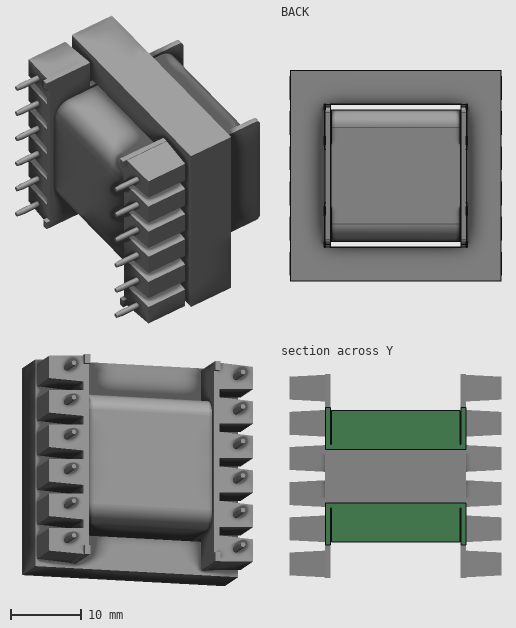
import cadquery as cq


core_side = 30.0
core_depth = 6.93
window_side = 20.32
leg_height = 7.55

tube_wall = 0.78
coil_end_gap = 0.05
tube_opening_depth = 7.48
coil_depth = 20.65
coil_height = 18.75
coil_corner_radius = 2.53

flange_outer_x = 10.05
flange_thickness = 0.78
flange_height = 19.6
flange_back_y = 11.85
flange_corner_radius = 0.75
wide_flange_height = 29.0
foot_front_y = -11.8
foot_height = 1.33
flange_inner_x = flange_outer_x - flange_thickness

pin_count = 6
pin_pitch = 5.0
block_outer_x = 15.08
block_back_y = -4.25
block_front_y = -11.13
block_height = 3.8
block_inset = 0.27
block_depth = block_back_y - block_front_y
block_length = block_outer_x - flange_outer_x
block_center_y = (block_back_y + block_front_y) / 2

pin_x = 12.5
pin_diameter = 0.87
pin_tip_diameter = 0.65
pin_tip_length = 0.87
pin_end_y = -14.75
pin_length = block_center_y - pin_end_y


def make_core():
    """Square frame with a centre leg along X through the middle of the window."""
    frame = cq.Workplane("XY").box(core_side, core_depth, core_side)
    window = cq.Workplane("XY").box(window_side, core_depth, window_side)
    leg = cq.Workplane("XY").box(window_side, core_depth, leg_height)
    return frame.cut(window).union(leg)


def make_coil():
    """Rounded winding block, just clear of the flanges at both ends."""
    coil = cq.Workplane("XY").box(2 * (flange_inner_x - coil_end_gap), coil_depth, coil_height)
    return coil.edges("|X").fillet(coil_corner_radius)


def make_tube():
    """Bobbin tube joining the two flanges inside the winding, still without its opening."""
    return cq.Workplane("XY").box(
        2 * flange_inner_x, tube_opening_depth + 2 * tube_wall, leg_height + 2 * tube_wall
    )


def slab(y_front, y_back, height):
    """Flange-thick plate on the +X side, centred on Z = 0."""
    return cq.Workplane("XY").box(
        flange_thickness, y_back - y_front, height
    ).translate((flange_outer_x - flange_thickness / 2, (y_front + y_back) / 2, 0))


def make_flange():
    """Flange on the +X side: narrow through the core window, wide behind the terminal blocks."""
    narrow = slab(block_front_y, flange_back_y, flange_height)
    narrow = narrow.edges("|X and >Y").fillet(flange_corner_radius)
    wide = slab(foot_front_y, block_back_y, wide_flange_height)
    recess = slab(foot_front_y, block_front_y, wide_flange_height - 2 * foot_height)
    return narrow.union(wide.cut(recess))


def make_block():
    """Tapered terminal block on the +X side, centred on Z = 0."""
    return (
        cq.Workplane("YZ", origin=(flange_outer_x, block_center_y, 0))
        .rect(block_depth, block_height)
        .workplane(offset=block_length)
        .rect(block_depth - 2 * block_inset, block_height - 2 * block_inset)
        .loft(ruled=True)
    )


def make_pin():
    """Round pin with a conical tip, rooted in the middle of the block and pointing to -Y."""
    tip_inset = (pin_diameter - pin_tip_diameter) / 2
    return (
        cq.Workplane("XZ", origin=(pin_x, block_center_y, 0))
        .circle(pin_diameter / 2)
        .extrude(pin_length)
        .faces("<Y")
        .chamfer(pin_tip_length, tip_inset)
    )


def make_terminal_side():
    """Flange with its row of terminals on the +X side."""
    side = make_flange()
    terminal = make_block().union(make_pin())
    for i in range(pin_count):
        z = (i - (pin_count - 1) / 2) * pin_pitch
        side = side.union(terminal.translate((0, 0, z)))
    return side


side = make_terminal_side()
bobbin = make_tube().union(make_coil()).union(side).union(side.mirror("YZ"))
tube_opening = cq.Workplane("XY").box(2 * flange_outer_x, tube_opening_depth, leg_height)

result = bobbin.cut(tube_opening).union(make_core())